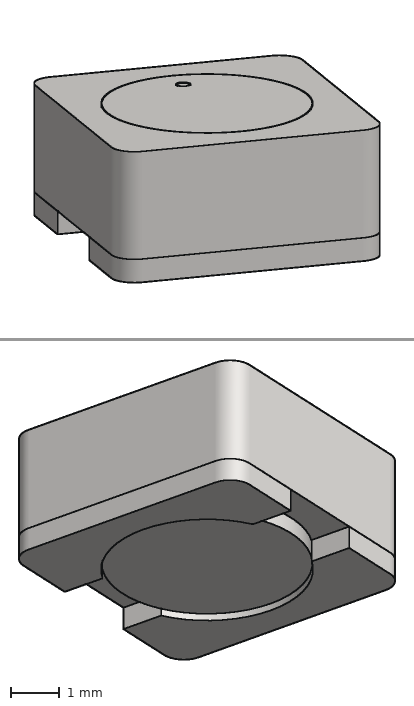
import cadquery as cq

body_side = 5.8
total_height = 2.8
corner_radius = 0.5

terminal_height = 0.5
terminal_gap = 2.0

bore_diameter = 4.35
core_diameter = 4.32
core_bottom = 0.15

dot_diameter = 0.3
dot_x = -1.5
dot_depth = 0.02


def bored_block(bottom, height):
    """Square block with rounded upright edges and the core bore through it."""
    return (
        cq.Workplane("XY", origin=(0, 0, bottom))
        .rect(body_side, body_side)
        .extrude(height)
        .edges("|Z")
        .fillet(corner_radius)
        .faces(">Z")
        .workplane()
        .hole(bore_diameter)
    )


def make_shield():
    """Upper block around the core."""
    return bored_block(terminal_height, total_height - terminal_height)


def make_terminal(side):
    """Base plate beyond the central gap; side is -1 for -X or +1 for +X."""
    terminal_length = (body_side - terminal_gap) / 2
    center_x = side * (terminal_gap + terminal_length) / 2
    end_zone = (
        cq.Workplane("XY")
        .center(center_x, 0)
        .rect(terminal_length, body_side)
        .extrude(terminal_height)
    )
    return bored_block(0, terminal_height).intersect(end_zone)


def make_core():
    """Round core with the orientation mark in its top face."""
    dot = (
        cq.Workplane("XY", origin=(dot_x, 0, total_height - dot_depth))
        .circle(dot_diameter / 2)
        .extrude(dot_depth)
    )
    return (
        cq.Workplane("XY", origin=(0, 0, core_bottom))
        .circle(core_diameter / 2)
        .extrude(total_height - core_bottom)
        .cut(dot)
    )


shield = make_shield()
core = make_core()
terminals = [make_terminal(side) for side in (-1, 1)]

result = cq.Compound.makeCompound(
    [shield.val(), core.val(), *[solid for terminal in terminals for solid in terminal.solids().vals()]]
)